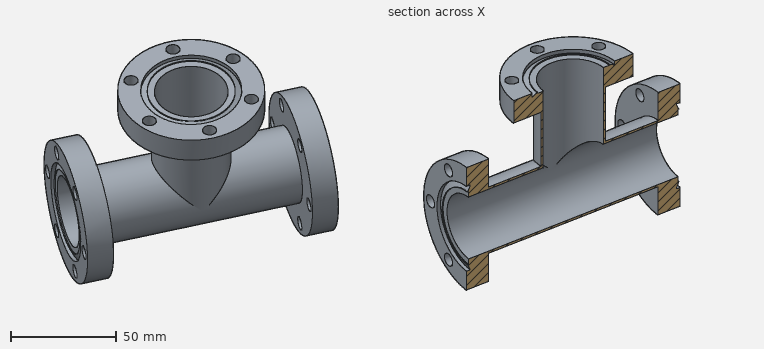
import cadquery as cq

end_reach = 62.5

pipe_diameter = 38.0
bore_diameter = 35.0

flange_diameter = 70.0
flange_thickness = 13.0
bolt_count = 6
bolt_circle_diameter = 58.7
bolt_hole_diameter = 6.6

recess_depth = 2.1
knife_depth = 0.6
seat_depth = 1.2
recess_diameter = 48.1
run_knife_diameter = 41.3
branch_knife_diameter = 41.9


def run_end(side):
    """Plane on a run flange face, looking outward; side is -1 or +1 along Y."""
    return cq.Plane(origin=(0, side * end_reach, 0), xDir=(1, 0, 0), normal=(0, side, 0))


branch_end = cq.Plane(origin=(0, 0, end_reach), xDir=(1, 0, 0), normal=(0, 0, 1))
run_ends = [run_end(-1), run_end(1)]
ends = run_ends + [branch_end]


def cylinder_inward(plane, diameter, length):
    """Cylinder starting at a flange face and running into the tee."""
    return cq.Workplane(plane).circle(diameter / 2).extrude(-length)


def sealing_recess(plane, knife_diameter):
    """Volume turned out of a flange face, leaving a knife edge around a flat inner seat."""
    profile_plane = cq.Plane(origin=plane.origin, xDir=plane.xDir, normal=plane.xDir.cross(plane.zDir))
    profile = (
        cq.Workplane(profile_plane)
        .moveTo(0, 0)
        .lineTo(recess_diameter / 2, 0)
        .lineTo(recess_diameter / 2, -recess_depth)
        .lineTo(knife_diameter / 2, -knife_depth)
        .lineTo(knife_diameter / 2, -seat_depth)
        .lineTo(0, -seat_depth)
        .close()
    )
    return profile.revolve(360, (0, 0), (0, 1))


def bolt_holes(plane):
    """Through holes evenly spaced on the bolt circle, the first one on the X side."""
    return (
        cq.Workplane(plane)
        .polarArray(bolt_circle_diameter / 2, 0, 360, bolt_count)
        .circle(bolt_hole_diameter / 2)
        .extrude(-flange_thickness)
    )


def tee_of_cylinders(diameter):
    """Cylinders of one diameter along the full run and up the branch."""
    run = cylinder_inward(run_end(1), diameter, 2 * end_reach)
    branch = cylinder_inward(branch_end, diameter, end_reach)
    return run.union(branch)


body = tee_of_cylinders(pipe_diameter)
for end in ends:
    body = body.union(cylinder_inward(end, flange_diameter, flange_thickness))

body = body.cut(tee_of_cylinders(bore_diameter))
for end in ends:
    body = body.cut(bolt_holes(end))

for end in run_ends:
    body = body.cut(sealing_recess(end, run_knife_diameter))
body = body.cut(sealing_recess(branch_end, branch_knife_diameter))

result = body